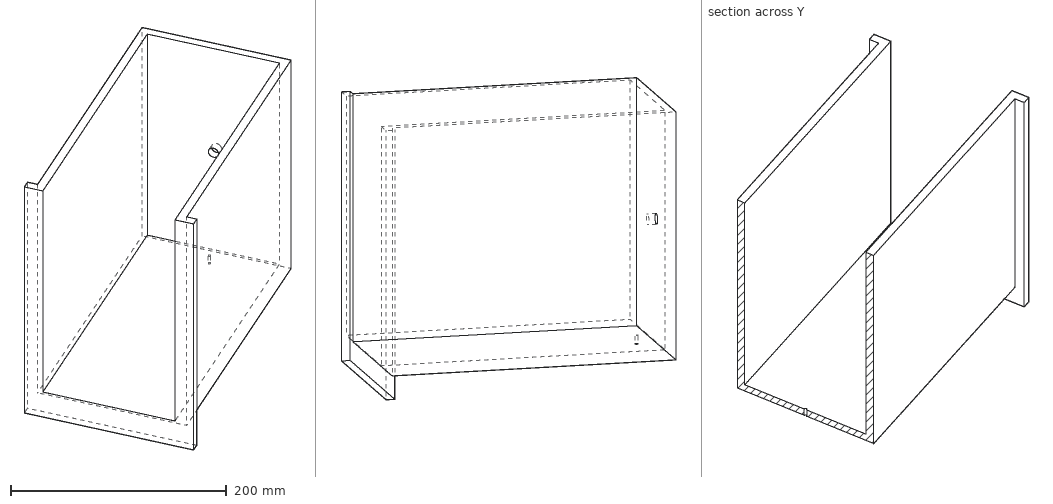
import cadquery as cq

wall = 8.4
body_width = 148.0
body_height = 236.0
overall_length = 280.0
flange_side_lip = 10.0
flange_bottom_lip = 20.0
back_hole_diameter = 10.0
floor_hole_diameter = 2.5
floor_hole_from_back = 19.0

flange_width = body_width + 2 * flange_side_lip
flange_height = body_height + flange_bottom_lip
cavity_width = body_width - 2 * wall
cavity_length = overall_length - wall
cavity_height = body_height - wall


def block(width, length, height, bottom_z):
    """Box centred on X, running back from the front face."""
    box = cq.Workplane("XY").box(width, length, height, centered=(True, False, False))
    return box.translate((0, 0, bottom_z))


def drawer_shell():
    """Box with a front flange, hollowed through the top and the front."""
    body = block(body_width, overall_length, body_height, 0)
    flange = block(flange_width, wall, flange_height, -flange_bottom_lip)
    cavity = block(cavity_width, cavity_length, cavity_height, wall)
    return body.union(flange).cut(cavity)


def back_hole():
    """Horizontal hole through the back wall at mid-height of the body."""
    hole = cq.Workplane("XZ").circle(back_hole_diameter / 2).extrude(-wall)
    return hole.translate((0, cavity_length, body_height / 2))


def floor_hole():
    """Small vertical hole through the floor near the back wall."""
    hole = cq.Workplane("XY").circle(floor_hole_diameter / 2).extrude(wall)
    return hole.translate((0, overall_length - floor_hole_from_back, 0))


result = drawer_shell().cut(back_hole()).cut(floor_hole())